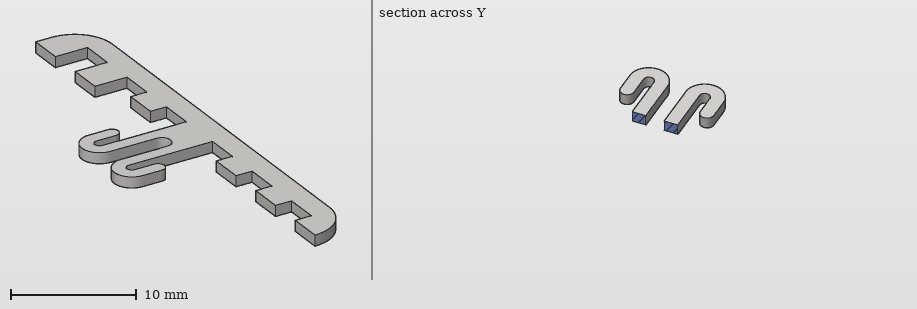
import cadquery as cq

length = 40.0
depth = 11.45
thickness = 1.0
half_length = length / 2

bar_width = 2.0
corner_radius = 3.5
short_tooth_reach = 3.5
long_tooth_reach = 5.0
tooth_width = 3.0
tooth_pitch = 2 * tooth_width

stem_half_width = 2.0
leg_width = 1.2
hook_gap = 0.9
stem_slot_reach = 4.7
hook_tip_reach = 7.4

slot_radius = stem_half_width - leg_width
hook_inner_radius = hook_gap / 2
hook_outer_radius = hook_inner_radius + leg_width
hook_center_x = stem_half_width + hook_inner_radius
hook_center_y = hook_outer_radius - depth
tip_radius = leg_width / 2
tip_center_x = stem_half_width + hook_gap + tip_radius
tip_center_y = -hook_tip_reach - tip_radius

left_tooth_reaches = [long_tooth_reach, long_tooth_reach, short_tooth_reach]
right_tooth_reaches = [short_tooth_reach, short_tooth_reach, short_tooth_reach]


def block(x_min, x_max, y_min, y_max):
    """Full-thickness rectangular block standing on Z = 0."""
    return (
        cq.Workplane("XY")
        .box(x_max - x_min, y_max - y_min, thickness, centered=False)
        .translate((x_min, y_min, 0))
    )


def disc(x, y, radius):
    """Full-thickness disc standing on Z = 0."""
    return cq.Workplane("XY").center(x, y).circle(radius).extrude(thickness)


def make_comb():
    """Bar with its row of teeth and rounded back corners."""
    comb = block(-half_length, half_length, -bar_width, 0)
    for index, reach in enumerate(left_tooth_reaches):
        x_min = -half_length + index * tooth_pitch
        comb = comb.union(block(x_min, x_min + tooth_width, -reach, 0))
    for index, reach in enumerate(reversed(right_tooth_reaches)):
        x_max = half_length - index * tooth_pitch
        comb = comb.union(block(x_max - tooth_width, x_max, -reach, 0))
    return round_back_corners(comb)


def round_back_corners(comb):
    """Cut both back corners to a quarter circle."""
    for side in (-1, 1):
        arc_center_x = side * (half_length - corner_radius)
        x_min, x_max = sorted((arc_center_x, side * half_length))
        corner = block(x_min, x_max, -corner_radius, 0)
        rounding = disc(arc_center_x, -corner_radius, corner_radius)
        comb = comb.cut(corner.cut(rounding))
    return comb


def make_stem():
    """Stem down to the hook bends, with the round-ended slot between its legs."""
    stem = block(-stem_half_width, stem_half_width, hook_center_y, -bar_width)
    slot_center_y = -stem_slot_reach - slot_radius
    slot = block(-slot_radius, slot_radius, hook_center_y, slot_center_y)
    slot = slot.union(disc(0, slot_center_y, slot_radius))
    return stem.cut(slot)


def make_right_hook():
    """Half-ring bend below the right leg, then the upturned round-ended tip."""
    ring = disc(hook_center_x, hook_center_y, hook_outer_radius)
    ring = ring.cut(disc(hook_center_x, hook_center_y, hook_inner_radius))
    upper_half = block(
        hook_center_x - hook_outer_radius,
        hook_center_x + hook_outer_radius,
        hook_center_y,
        hook_center_y + hook_outer_radius,
    )
    tip = block(tip_center_x - tip_radius, tip_center_x + tip_radius, hook_center_y, tip_center_y)
    return ring.cut(upper_half).union(tip).union(disc(tip_center_x, tip_center_y, tip_radius))


right_hook = make_right_hook()
left_hook = right_hook.mirror("YZ")
result = make_comb().union(make_stem()).union(right_hook).union(left_hook).clean()